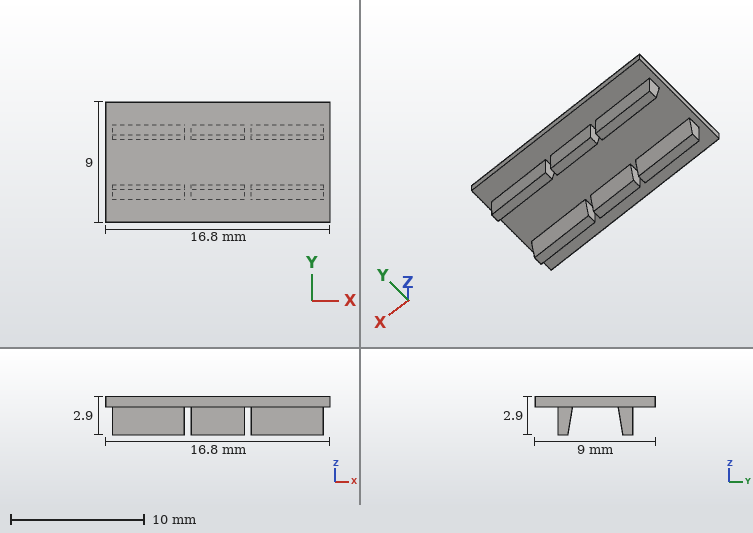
import cadquery as cq

plate_length = 16.8
plate_width = 9.0
plate_thickness = 0.8

leg_height = 2.1
leg_root_thickness = 1.1
leg_tip_thickness = 0.75
outer_face_offset = 2.8

end_inset = 0.5
leg_gap = 0.5
middle_leg_length = 4.0
end_leg_length = (plate_length - middle_leg_length) / 2 - end_inset - leg_gap
end_leg_center = (middle_leg_length + end_leg_length) / 2 + leg_gap


def make_plate():
    """Plate centred on the Z axis with its underside at Z = 0."""
    return cq.Workplane("XY").box(
        plate_length, plate_width, plate_thickness, centered=(True, True, False)
    )


def make_leg(center_x, length, side):
    """Leg hanging below the plate; side is -1 or +1 along Y."""
    root_inner = outer_face_offset - leg_root_thickness
    tip_inner = outer_face_offset - leg_tip_thickness
    profile = [
        (side * outer_face_offset, 0),
        (side * outer_face_offset, -leg_height),
        (side * tip_inner, -leg_height),
        (side * root_inner, 0),
    ]
    return (
        cq.Workplane("YZ", origin=(center_x - length / 2, 0, 0))
        .polyline(profile)
        .close()
        .extrude(length)
    )


leg_row = [
    (-end_leg_center, end_leg_length),
    (0, middle_leg_length),
    (end_leg_center, end_leg_length),
]

result = make_plate()
for side in (-1, 1):
    for center_x, length in leg_row:
        result = result.union(make_leg(center_x, length, side))